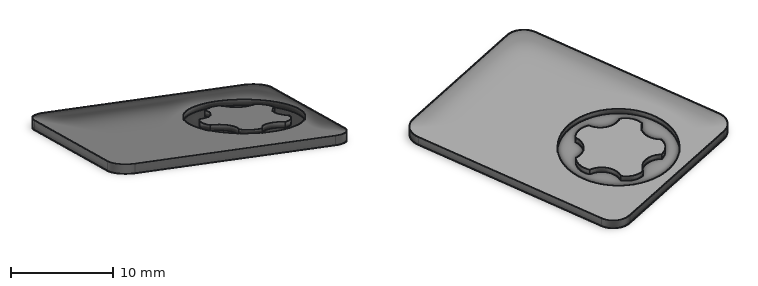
import cadquery as cq
import math

plate_width = 20.0
plate_length = 26.0
plate_thickness = 1.0
corner_radius = 2.0

pocket_radius = 6.0
pocket_edge_margin = 1.0
pocket_depth = 0.6
pocket_center_y = plate_length / 2 - pocket_edge_margin - pocket_radius

lobe_count = 5
lobe_tip_radius = 4.65
lobe_corner_radius = 4.44
lobe_half_angle = 15.1
valley_radius = 3.35
first_lobe_angle = -90.0
island_center_x = 0.05
island_center_y = pocket_center_y - 0.05


def island_point(radius, angle):
    """Point at a polar position about the island centre, angle in degrees."""
    turn = math.radians(angle)
    return (
        island_center_x + radius * math.cos(turn),
        island_center_y + radius * math.sin(turn),
    )


def make_plate():
    """Flat rectangular plate with rounded vertical corners."""
    plate = cq.Workplane("XY").box(
        plate_width, plate_length, plate_thickness, centered=(True, True, False)
    )
    return plate.edges("|Z").fillet(corner_radius)


def make_island(floor):
    """Lobed prism on the pocket floor: each lobe is a convex arc, followed by a concave valley arc."""
    lobe_pitch = 360.0 / lobe_count
    start = island_point(lobe_corner_radius, first_lobe_angle - lobe_half_angle)
    outline = floor.moveTo(*start)
    for index in range(lobe_count):
        lobe_angle = first_lobe_angle + index * lobe_pitch
        next_lobe_angle = lobe_angle + lobe_pitch
        outline = outline.threePointArc(
            island_point(lobe_tip_radius, lobe_angle),
            island_point(lobe_corner_radius, lobe_angle + lobe_half_angle),
        )
        outline = outline.threePointArc(
            island_point(valley_radius, lobe_angle + lobe_pitch / 2),
            island_point(lobe_corner_radius, next_lobe_angle - lobe_half_angle),
        )
    return outline.close().extrude(pocket_depth)


def make_pocket_cutter():
    """Material removed from the round pocket, leaving the island in place."""
    floor = cq.Workplane("XY").workplane(offset=plate_thickness - pocket_depth)
    disc = floor.moveTo(0, pocket_center_y).circle(pocket_radius).extrude(pocket_depth)
    return disc.cut(make_island(floor))


result = make_plate().cut(make_pocket_cutter())